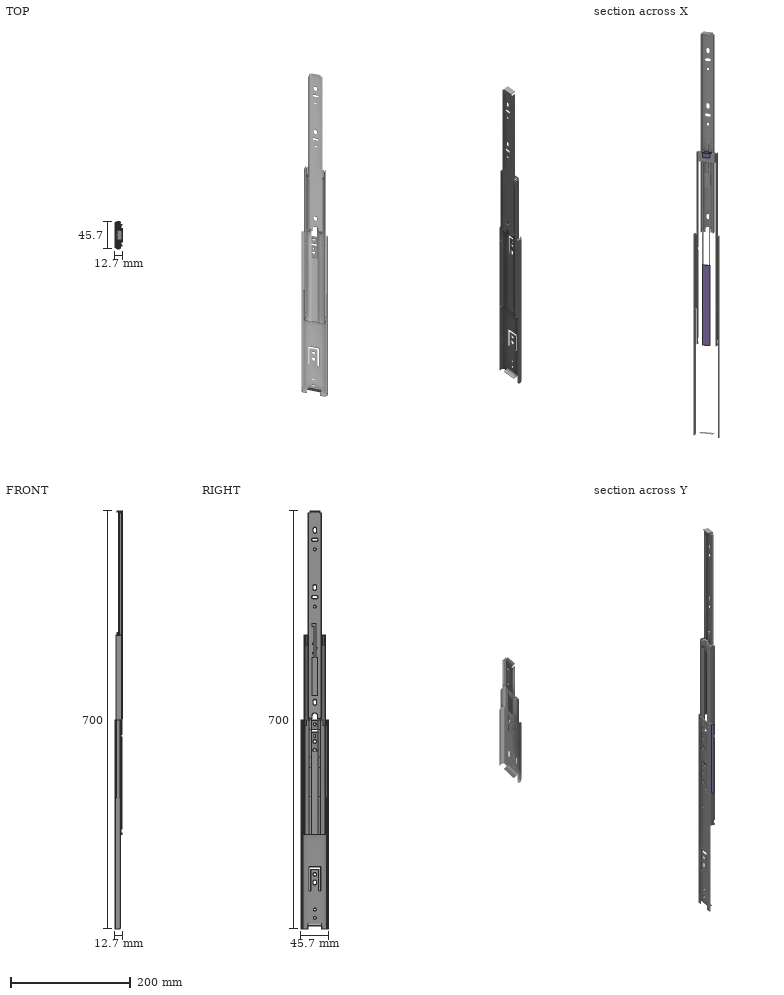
import cadquery as cq
import math


SLIDE_DEPTH = 12.7
SLIDE_WIDTH = 45.7
SLIDE_LENGTH = 700.0
BACK_X = -SLIDE_DEPTH / 2
FRONT_X = SLIDE_DEPTH / 2
SHEET = 1.2

OUTER_LENGTH = 350.0
OUTER_HALF = SLIDE_WIDTH / 2
OUTER_WEB_HALF = 19.6
OUTER_BULGE_HALF = 21.3
OUTER_BULGE_X = -4.8
OUTER_LIP_X = 3.2
OUTER_CORNER_BULGE = 0.2
OUTER_WEB_FRONT = BACK_X + SHEET

MIDDLE_SHEET = 1.0
MIDDLE_BOTTOM = 158.5
MIDDLE_TOP = 492.5
MIDDLE_HALF = 17.8
MIDDLE_BACK = -4.9
MIDDLE_FRONT = 5.3
MIDDLE_LAND_HALF = 9.6
MIDDLE_STEP_HALF = 5.2
MIDDLE_STEP = 2.0
MIDDLE_BEND = 2.95

INNER_BOTTOM = 353.0
INNER_HALF = 11.4
INNER_BACK = -0.3
INNER_WEB_BACK = FRONT_X - SHEET
INNER_CAP_HALF = 8.4
INNER_CAP_BACK = -3.0
INNER_CAP_THICKNESS = 1.5
INNER_FLANGE_DROP = 3.0

SMALL_HOLE = 4.3
SCREW_HOLE = 5.6


def block(x0, x1, y0, y1, z0, z1):
    """Box between two corner positions."""
    return cq.Workplane("XY").box(x1 - x0, y1 - y0, z1 - z0, centered=False).translate((x0, y0, z0))


def centred_block(x0, x1, half_width, z0, z1):
    """Box that is symmetric about the middle of the slide."""
    return block(x0, x1, -half_width, half_width, z0, z1)


def both_sides(shape):
    """The shape together with its mirror copy across the middle of the slide."""
    return shape.union(shape.mirror("XZ"))


def round_cutter(z, diameter):
    """Round bar along X, long enough to pierce every web."""
    return cq.Workplane("YZ").center(0, z).circle(diameter / 2).extrude(SLIDE_DEPTH, both=True)


def slot_cutter(z, length, width, angle):
    """Round-ended bar along X; angle 0 lies across the rail, 90 along it."""
    return cq.Workplane("YZ").center(0, z).slot2D(length, width, angle).extrude(SLIDE_DEPTH, both=True)


LANCE_SLOT_INNER = 6.9
LANCE_SLOT_OUTER = 9.7
LANCES = [(334.3, 330.0, 288.0), (271.0, 264.7, 222.5), (104.5, 100.2, 64.4)]
LANCE_SCREW_CENTRES = [314.4, 250.8, 91.8]
LANCE_SLOT_CENTRES = [298.4, 234.8, 78.4]
LANCE_SLOT_LENGTH = 8.0
LANCE_SMALL_WIDTH = 2.2
LANCE_SMALL_HEIGHT = 4.5
LANCE_SMALL_CENTRES = [323.6, 262.5]
OUTER_SMALL_CENTRES = [343.0, 187.0, 33.0, 19.0]
CORNER_NOTCH_INNER = 13.8
CORNER_NOTCH_OUTER = 18.0
CORNER_NOTCH_DEPTH = 9.0
LIP_TRIM_X = 2.2
LIP_TRIM_HEIGHT = 2.0
STOP_HALF = 11.6
STOP_BOTTOM = 5.0
STOP_BEND = 4.5
STOP_REACH = 5.0


def outer_section():
    """One half of the outer rail: flat web, bent corner and bulged ball race."""
    bulge_mid_x = (OUTER_BULGE_X + OUTER_LIP_X) / 2
    corner_x = (BACK_X + OUTER_BULGE_X) / 2 - OUTER_CORNER_BULGE
    corner_y = (OUTER_WEB_HALF + OUTER_BULGE_HALF) / 2 + OUTER_CORNER_BULGE
    race_start_x = OUTER_BULGE_X + SHEET / 2
    race_y = OUTER_BULGE_HALF - SHEET
    return (
        cq.Workplane("XY")
        .moveTo(BACK_X, 0)
        .lineTo(BACK_X, OUTER_WEB_HALF)
        .threePointArc((corner_x, corner_y), (OUTER_BULGE_X, OUTER_BULGE_HALF))
        .threePointArc((bulge_mid_x, OUTER_HALF), (OUTER_LIP_X, OUTER_BULGE_HALF))
        .lineTo(OUTER_LIP_X, race_y)
        .threePointArc((bulge_mid_x, OUTER_HALF - SHEET), (race_start_x, race_y))
        .lineTo(OUTER_WEB_FRONT, OUTER_WEB_HALF)
        .lineTo(OUTER_WEB_FRONT, 0)
        .close()
    )


def lance_cutter(top, tongue_end, root):
    """U-shaped slot that frees a tongue in the web."""
    bridge = centred_block(BACK_X, OUTER_WEB_FRONT, LANCE_SLOT_OUTER, tongue_end, top)
    leg = block(BACK_X, OUTER_WEB_FRONT, LANCE_SLOT_INNER, LANCE_SLOT_OUTER, root, top)
    return bridge.union(both_sides(leg))


def make_outer_rail():
    rail = both_sides(outer_section().extrude(OUTER_LENGTH))
    for top, tongue_end, root in LANCES:
        rail = rail.cut(lance_cutter(top, tongue_end, root))
    for z in LANCE_SCREW_CENTRES:
        rail = rail.cut(round_cutter(z, SCREW_HOLE))
    for z in LANCE_SLOT_CENTRES:
        rail = rail.cut(slot_cutter(z, LANCE_SLOT_LENGTH, SCREW_HOLE, 90))
    for z in LANCE_SMALL_CENTRES:
        half_height = LANCE_SMALL_HEIGHT / 2
        rail = rail.cut(
            centred_block(BACK_X, OUTER_WEB_FRONT, LANCE_SMALL_WIDTH / 2, z - half_height, z + half_height)
        )
    for z in OUTER_SMALL_CENTRES:
        rail = rail.cut(round_cutter(z, SMALL_HOLE))

    notch = block(
        BACK_X, OUTER_WEB_FRONT, CORNER_NOTCH_INNER, CORNER_NOTCH_OUTER,
        OUTER_LENGTH - CORNER_NOTCH_DEPTH, OUTER_LENGTH,
    )
    rail = rail.cut(both_sides(notch))

    rail = rail.cut(centred_block(LIP_TRIM_X, OUTER_LIP_X, OUTER_HALF, 0, LIP_TRIM_HEIGHT))

    rail = rail.cut(centred_block(BACK_X, OUTER_WEB_FRONT, STOP_HALF, 0, STOP_BOTTOM + STOP_BEND))
    bend_top = STOP_BOTTOM + STOP_BEND
    inner_bend = STOP_BEND - SHEET
    tab_end = BACK_X + STOP_BEND + STOP_REACH
    bend_centre = (BACK_X + STOP_BEND, bend_top)
    diagonal = math.sqrt(0.5)
    tab = (
        cq.Workplane("XZ")
        .moveTo(BACK_X, bend_top)
        .threePointArc(
            (bend_centre[0] - STOP_BEND * diagonal, bend_centre[1] - STOP_BEND * diagonal),
            (bend_centre[0], STOP_BOTTOM),
        )
        .lineTo(tab_end, STOP_BOTTOM)
        .lineTo(tab_end, STOP_BOTTOM + SHEET)
        .lineTo(bend_centre[0], STOP_BOTTOM + SHEET)
        .threePointArc(
            (bend_centre[0] - inner_bend * diagonal, bend_centre[1] - inner_bend * diagonal),
            (OUTER_WEB_FRONT, bend_top),
        )
        .close()
        .extrude(STOP_HALF, both=True)
    )
    return rail.union(tab)


WINDOW_BOTTOM = 298.5
WINDOW_TOP = 484.0
WINDOW_HEAD_HALF = 11.6
WINDOW_HEAD_BOTTOM = 477.5
LIP_NOTCH_DEPTH = 2.0
LIP_NOTCHES = [(321.5, 325.7), (161.3, 167.6)]


def middle_section():
    """One half of the middle rail: stepped web with side lands and a straight flange."""
    centre_back = MIDDLE_BACK + MIDDLE_STEP
    return (
        cq.Workplane("XY")
        .moveTo(centre_back, 0)
        .lineTo(centre_back, MIDDLE_STEP_HALF)
        .lineTo(MIDDLE_BACK, MIDDLE_LAND_HALF)
        .lineTo(MIDDLE_BACK, MIDDLE_HALF - MIDDLE_BEND)
        .radiusArc((MIDDLE_BACK + MIDDLE_BEND, MIDDLE_HALF), MIDDLE_BEND)
        .lineTo(MIDDLE_FRONT, MIDDLE_HALF)
        .lineTo(MIDDLE_FRONT, MIDDLE_HALF - MIDDLE_SHEET)
        .lineTo(MIDDLE_BACK + MIDDLE_BEND, MIDDLE_HALF - MIDDLE_SHEET)
        .radiusArc(
            (MIDDLE_BACK + MIDDLE_SHEET, MIDDLE_HALF - MIDDLE_BEND), MIDDLE_SHEET - MIDDLE_BEND
        )
        .lineTo(MIDDLE_BACK + MIDDLE_SHEET, MIDDLE_LAND_HALF)
        .lineTo(centre_back + MIDDLE_SHEET, MIDDLE_STEP_HALF)
        .lineTo(centre_back + MIDDLE_SHEET, 0)
        .close()
    )


def make_middle_rail():
    rail = both_sides(middle_section().extrude(MIDDLE_TOP - MIDDLE_BOTTOM))
    rail = rail.translate((0, 0, MIDDLE_BOTTOM))
    window_front = MIDDLE_BACK + MIDDLE_STEP + MIDDLE_SHEET
    rail = rail.cut(centred_block(MIDDLE_BACK, window_front, MIDDLE_STEP_HALF, WINDOW_BOTTOM, WINDOW_TOP))
    rail = rail.cut(
        centred_block(MIDDLE_BACK, window_front, WINDOW_HEAD_HALF, WINDOW_HEAD_BOTTOM, WINDOW_TOP)
    )
    for bottom, top in LIP_NOTCHES:
        rail = rail.cut(
            centred_block(MIDDLE_FRONT - LIP_NOTCH_DEPTH, MIDDLE_FRONT, MIDDLE_HALF, bottom, top)
        )
    return rail


HOLE_PITCH = 16.0
INNER_SCREW_GROUPS = [668.0, 572.0]
INNER_LOWEST_SCREW = 380.0
UPRIGHT_SLOT_LENGTH = 9.4
UPRIGHT_SLOT_WIDTH = 5.6
CROSS_SLOT_LENGTH = 10.5
CROSS_SLOT_WIDTH = 4.8
END_NOTCH_WIDTH = 9.0
END_NOTCH_TOP = 362.0
RACE_DEPTH = 1.0
RACE_MARGIN = 1.5


def inner_section():
    """One half of the inner rail: flat web and a flange with a concave ball race."""
    race_back = INNER_BACK + RACE_MARGIN
    race_front = FRONT_X - RACE_MARGIN
    race_mid = (race_back + race_front) / 2
    inside = INNER_HALF - SHEET
    return (
        cq.Workplane("XY")
        .moveTo(FRONT_X, 0)
        .lineTo(FRONT_X, INNER_HALF)
        .lineTo(race_front, INNER_HALF)
        .threePointArc((race_mid, INNER_HALF - RACE_DEPTH), (race_back, INNER_HALF))
        .lineTo(INNER_BACK, INNER_HALF)
        .lineTo(INNER_BACK, inside)
        .lineTo(race_back, inside)
        .threePointArc((race_mid, inside - RACE_DEPTH), (INNER_WEB_BACK, inside))
        .lineTo(INNER_WEB_BACK, 0)
        .close()
    )


def make_inner_rail():
    length = SLIDE_LENGTH - INNER_FLANGE_DROP - INNER_BOTTOM
    rail = both_sides(inner_section().extrude(length)).translate((0, 0, INNER_BOTTOM))

    flange_top = SLIDE_LENGTH - INNER_FLANGE_DROP
    rail = rail.union(centred_block(INNER_WEB_BACK, FRONT_X, INNER_CAP_HALF, flange_top, SLIDE_LENGTH))
    cap_bottom = SLIDE_LENGTH - INNER_CAP_THICKNESS
    rail = rail.union(centred_block(INNER_CAP_BACK, FRONT_X, INNER_CAP_HALF, cap_bottom, SLIDE_LENGTH))

    for z in INNER_SCREW_GROUPS:
        rail = rail.cut(slot_cutter(z, UPRIGHT_SLOT_LENGTH, UPRIGHT_SLOT_WIDTH, 90))
        rail = rail.cut(slot_cutter(z - HOLE_PITCH, CROSS_SLOT_LENGTH, CROSS_SLOT_WIDTH, 0))
        rail = rail.cut(round_cutter(z - 2 * HOLE_PITCH, SMALL_HOLE))
    rail = rail.cut(slot_cutter(INNER_LOWEST_SCREW, UPRIGHT_SLOT_LENGTH, UPRIGHT_SLOT_WIDTH, 90))

    notch_radius = END_NOTCH_WIDTH / 2
    rail = rail.cut(round_cutter(END_NOTCH_TOP - notch_radius, END_NOTCH_WIDTH))
    return rail.cut(
        centred_block(INNER_WEB_BACK, FRONT_X, notch_radius, INNER_BOTTOM, END_NOTCH_TOP - notch_radius)
    )


OUTER_CAGE_BOTTOM = 220.0
OUTER_CAGE_TOP = 349.0
OUTER_CAGE_INNER_Y = 18.3
OUTER_CAGE_OUTER_Y = 20.3
OUTER_CAGE_BACK = -3.5
OUTER_CAGE_FRONT = 2.0


def make_outer_cage(side):
    """Ball strip between the outer and middle flanges; side is +1 or -1 along Y."""
    y_ends = sorted([side * OUTER_CAGE_INNER_Y, side * OUTER_CAGE_OUTER_Y])
    return block(OUTER_CAGE_BACK, OUTER_CAGE_FRONT, *y_ends, OUTER_CAGE_BOTTOM, OUTER_CAGE_TOP)


INNER_CAGE_BACK = -1.8
INNER_CAGE_WEB_FRONT = -0.5
INNER_CAGE_FRONT = 4.0
INNER_CAGE_BOTTOM = 476.0
INNER_CAGE_ARM_INNER = 12.5
INNER_CAGE_ARM_OUTER = 15.0
INNER_CAGE_RIM_BACK = -3.2
INNER_CAGE_RIM_HALF = 9.2
INNER_CAGE_RIM_TOP = 494.5
INNER_CAGE_TONGUE_HALF = 4.0
INNER_CAGE_TONGUE_TOP = 496.8


def make_inner_cage():
    """U-shaped cage around the inner rail, with a rim and tongue over the end of the middle rail."""
    web = centred_block(
        INNER_CAGE_BACK, INNER_CAGE_WEB_FRONT, INNER_CAGE_ARM_OUTER, INNER_CAGE_BOTTOM, MIDDLE_TOP
    )
    arm = block(
        INNER_CAGE_BACK, INNER_CAGE_FRONT, INNER_CAGE_ARM_INNER, INNER_CAGE_ARM_OUTER,
        INNER_CAGE_BOTTOM, MIDDLE_TOP,
    )
    cage = web.union(both_sides(arm))
    for half_width, top in [
        (INNER_CAGE_RIM_HALF, INNER_CAGE_RIM_TOP),
        (INNER_CAGE_TONGUE_HALF, INNER_CAGE_TONGUE_TOP),
    ]:
        cage = cage.union(
            centred_block(INNER_CAGE_RIM_BACK, INNER_CAGE_WEB_FRONT, half_width, MIDDLE_TOP, top)
        )
    return cage


LEVER_PLATE_HALF = 4.8
LEVER_PLATE_BOTTOM = 391.0
LEVER_PLATE_TOP = 455.0
LEVER_PLATE_BACK = 4.0
LEVER_PAD_BOTTOM = 431.5
LEVER_PAD_BACK = 1.5
LEVER_PAD_CORNER = 2.5
LEVER_ARM_HALF = 1.6
LEVER_ARM_BACK = 2.5
LEVER_ARM_TOP = 507.0
LEVER_TEETH = [461.0, 469.0, 477.0]
LEVER_TOOTH_REACH = 4.0
LEVER_TOOTH_HEIGHT = 2.5
LEVER_HOOK_SIDE = -5.0
LEVER_HOOK_TOP = 511.5


def make_lever():
    """Latch lever on the inner web: base plate, rounded pad, toothed arm and hooked end."""
    lever = centred_block(
        LEVER_PLATE_BACK, INNER_WEB_BACK, LEVER_PLATE_HALF, LEVER_PLATE_BOTTOM, LEVER_PLATE_TOP
    )
    pad = centred_block(
        LEVER_PAD_BACK, INNER_WEB_BACK, LEVER_PLATE_HALF, LEVER_PAD_BOTTOM, LEVER_PLATE_TOP
    )
    lever = lever.union(pad.edges("|X and <Z").fillet(LEVER_PAD_CORNER))
    arm_ends = (LEVER_ARM_BACK, INNER_WEB_BACK)
    lever = lever.union(centred_block(*arm_ends, LEVER_ARM_HALF, LEVER_PLATE_TOP, LEVER_ARM_TOP))
    for index, z in enumerate(LEVER_TEETH):
        side = 1 if index % 2 else -1
        y_ends = sorted([0, side * LEVER_TOOTH_REACH])
        lever = lever.union(block(*arm_ends, *y_ends, z, z + LEVER_TOOTH_HEIGHT))
    hook = block(*arm_ends, LEVER_HOOK_SIDE, LEVER_ARM_HALF, LEVER_ARM_TOP, LEVER_HOOK_TOP)
    return lever.union(hook)


outer_rail = make_outer_rail()
middle_rail = make_middle_rail()
inner_rail = make_inner_rail()
outer_cages = [make_outer_cage(side) for side in (1, -1)]
inner_cage = make_inner_cage()
lever = make_lever()

result = cq.Compound.makeCompound(
    [
        outer_rail.val(),
        middle_rail.val(),
        inner_rail.val(),
        *[cage.val() for cage in outer_cages],
        inner_cage.val(),
        lever.val(),
    ]
)